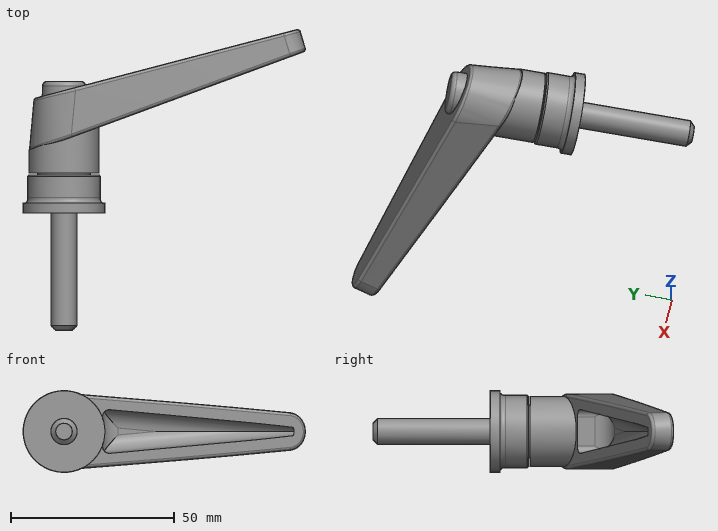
import cadquery as cq
import math


stud_diameter = 8.0
stud_radius = stud_diameter / 2
stud_length = 35.9
stud_chamfer = 1.5
flange_radius = 12.5
flange_height = 3.0
flare_top = 4.7
flare_radius = 11.8
flare_sag = 0.2
collar_radius = 11.1
collar_top = 11.7
collar_chamfer = 0.5
neck_radius = 8.1

hub_radius = 10.8
hub_bottom = 12.2
button_base_y = 29.4
button_base_radius = 6.9
button_top_radius = 6.5
button_top_y = 40.3
button_fillet = 1.5

base_end_radius = 11.5
base_end_x = -0.8
base_end_lean = 0.09
tip_end_radius = 5.8
tip_end_x = 83.0
tip_end_lean = -0.3
top_face_y = 37.4
top_face_slope = 0.262
bottom_face_y = 22.3
bottom_face_slope = 0.368
lever_fillet = 0.9
slice_low = 4.6
slice_high = 73.55
trim_start_x = -18.4
trim_end_x = 87.3
trim_half_width = 18.4

pocket_start_x = 11.8
pocket_end_x = 70.2
pocket_start_half_width = 6.9
pocket_end_half_width = 1.5
pocket_side_fillet = 5.2
pocket_start_fillet = 6.25
pocket_start_corner = 2.2
pocket_end_corner = 1.1
pocket_roof = 3.7


def make_stud():
    """Chamfered stud, flange with a concave flare, collar and neck, as one turned body."""
    middle_radius = (flare_radius + collar_radius) / 2 - flare_sag
    middle_y = (flange_height + flare_top) / 2 - flare_sag
    return (
        cq.Workplane("XY")
        .moveTo(0, -stud_length)
        .lineTo(stud_radius - stud_chamfer, -stud_length)
        .lineTo(stud_radius, stud_chamfer - stud_length)
        .lineTo(stud_radius, 0)
        .lineTo(flange_radius, 0)
        .lineTo(flange_radius, flange_height)
        .lineTo(flare_radius, flange_height)
        .threePointArc((middle_radius, middle_y), (collar_radius, flare_top))
        .lineTo(collar_radius, collar_top - collar_chamfer)
        .lineTo(collar_radius - collar_chamfer, collar_top)
        .lineTo(neck_radius, collar_top)
        .lineTo(neck_radius, hub_bottom)
        .lineTo(0, hub_bottom)
        .close()
        .revolve(360, (0, 0, 0), (0, 1, 0))
    )


def lever_slice(y):
    """Outline at height Y: two round ends joined by their common tangents."""
    base_x = base_end_x + base_end_lean * y
    tip_x = tip_end_x + tip_end_lean * y
    sine = (base_end_radius - tip_end_radius) / (tip_x - base_x)
    cosine = math.sqrt(1 - sine**2)

    def tangent_point(center_x, radius, side):
        return cq.Vector(center_x + radius * sine, y, side * radius * cosine)

    base_upper = tangent_point(base_x, base_end_radius, 1)
    base_lower = tangent_point(base_x, base_end_radius, -1)
    tip_upper = tangent_point(tip_x, tip_end_radius, 1)
    tip_lower = tangent_point(tip_x, tip_end_radius, -1)
    base_far = cq.Vector(base_x - base_end_radius, y, 0)
    tip_far = cq.Vector(tip_x + tip_end_radius, y, 0)
    return cq.Wire.assembleEdges([
        cq.Edge.makeThreePointArc(base_lower, base_far, base_upper),
        cq.Edge.makeLine(base_upper, tip_upper),
        cq.Edge.makeThreePointArc(tip_upper, tip_far, tip_lower),
        cq.Edge.makeLine(tip_lower, base_lower),
    ])


def region_below(height, slope):
    """Block, longer and wider than the lever, under the sloping plane Y = height + slope * X."""
    return (
        cq.Workplane("XY")
        .moveTo(trim_start_x, 0)
        .lineTo(trim_end_x, 0)
        .lineTo(trim_end_x, height + slope * trim_end_x)
        .lineTo(trim_start_x, height + slope * trim_start_x)
        .close()
        .extrude(trim_half_width, both=True)
    )


def make_lever():
    """Tapered arm between the two sloping faces, with rounded edges."""
    uncut = cq.Solid.makeLoft([lever_slice(slice_low), lever_slice(slice_high)], True)
    below_top = region_below(top_face_y, top_face_slope)
    below_bottom = region_below(bottom_face_y, bottom_face_slope)
    lever = cq.Workplane("XY").add(uncut).intersect(below_top).cut(below_bottom)
    return lever.faces("<Y or >Y").edges().fillet(lever_fillet)


def pocket_prism(outline):
    """Prism along Y over an (X, Z) outline, reaching from below the lever to above it."""
    return cq.Workplane("XZ").polyline(outline).close().extrude(-slice_high)


def make_pocket():
    """Cutter with rounded corners whose side and start walls run into the floor by a large fillet."""
    start_upper = (pocket_start_x, pocket_start_half_width)
    start_lower = (pocket_start_x, -pocket_start_half_width)
    end_upper = (pocket_end_x, pocket_end_half_width)
    end_lower = (pocket_end_x, -pocket_end_half_width)
    far_start = (pocket_start_x, -trim_half_width)
    far_end = (pocket_end_x, -trim_half_width)
    wall_slope = (pocket_end_half_width - pocket_start_half_width) / (pocket_end_x - pocket_start_x)
    wall_rise = wall_slope * (trim_start_x - pocket_start_x)
    wall_start = (trim_start_x, pocket_start_half_width + wall_rise)

    outline = pocket_prism([start_lower, end_lower, end_upper, start_upper])
    outline = outline.edges("|Y and <X").fillet(pocket_start_corner)
    outline = outline.edges("|Y and >X").fillet(pocket_end_corner)

    below_floor = region_below(top_face_y - pocket_roof, top_face_slope)
    upper_side = pocket_prism([(trim_start_x, -trim_half_width), far_end, end_upper, wall_start])
    upper_side = upper_side.intersect(below_floor)
    upper_side = upper_side.faces(">Y").edges(">Z").fillet(pocket_side_fillet)
    lower_side = upper_side.mirror("XY")

    start_end = pocket_prism([
        far_start, far_end, (pocket_end_x, trim_half_width), (pocket_start_x, trim_half_width),
    ]).intersect(below_floor)
    start_end = start_end.faces(">Y").edges("<X").fillet(pocket_start_fillet)
    return outline.intersect(upper_side).intersect(lower_side).intersect(start_end)


def make_button():
    """Slightly tapered button with a rounded rim, standing out of the top of the lever."""
    height = button_top_y - button_base_y
    return cq.Workplane(
        cq.Solid.makeCone(
            button_base_radius, button_top_radius, height,
            cq.Vector(0, button_base_y, 0), cq.Vector(0, 1, 0),
        )
    ).faces(">Y").edges().fillet(button_fillet)


def make_hub():
    """Cylinder around the clamping axis, ending inside the lever just above its rounded bottom edge."""
    cylinder = cq.Workplane(
        cq.Solid.makeCylinder(
            hub_radius, top_face_y - hub_bottom, cq.Vector(0, hub_bottom, 0), cq.Vector(0, 1, 0)
        )
    )
    below_cut = region_below(bottom_face_y + lever_fillet, bottom_face_slope)
    return cylinder.intersect(below_cut)


def make_handle():
    """Lever hollowed from below, joined to its hub and button."""
    return make_lever().cut(make_pocket()).union(make_hub()).union(make_button())


stud = make_stud()
handle = make_handle()
result = cq.Compound.makeCompound([stud.val(), handle.val()])